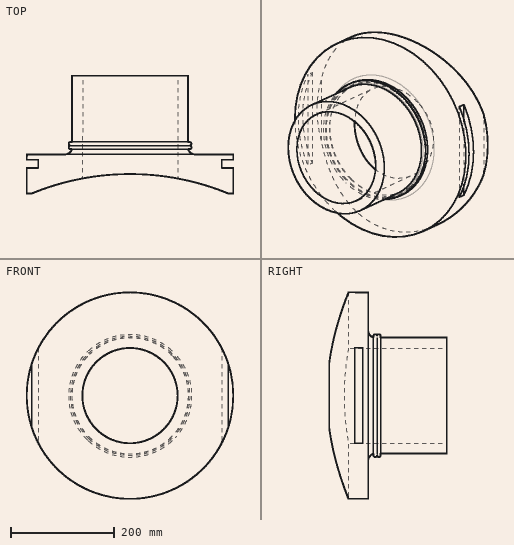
import cadquery as cq
import math

flange_diameter = 400.0
flange_thickness = 76.0
tube_diameter = 225.0
tube_length = 152.0
bore_diameter = 184.0

saddle_radius = 500.0
saddle_half_chord = 190.0

slot_floor_x = 177.5
slot_back_offset = 11.0
slot_width = 15.5

root_fillet_radius = 13.0
ring_section_radius = 3.5
ring_tip_diameter = 238.0
first_ring_y = 13.3
ring_count = 2

flange_radius = flange_diameter / 2
tube_radius = tube_diameter / 2
ring_pitch = 2 * ring_section_radius
ring_center_radius = ring_tip_diameter / 2 - ring_section_radius


def cylinder_along_y(diameter, start_y, end_y):
    """Solid cylinder on the Y axis between two Y positions."""
    return cq.Workplane("XZ", origin=(0, end_y, 0)).circle(diameter / 2).extrude(end_y - start_y)


def make_tube_with_root():
    """Tube revolved about Y, flaring into the flange through a concave root fillet."""
    fillet_center_x = tube_radius + root_fillet_radius
    arc_offset = root_fillet_radius * math.sqrt(0.5)
    fillet_middle = (fillet_center_x - arc_offset, root_fillet_radius - arc_offset)
    return (
        cq.Workplane("XY")
        .lineTo(fillet_center_x, 0)
        .threePointArc(fillet_middle, (tube_radius, root_fillet_radius))
        .lineTo(tube_radius, tube_length)
        .lineTo(0, tube_length)
        .close()
        .revolve(360, (0, 0, 0), (0, 1, 0))
    )


def make_ring(center_y):
    """Ring around the tube: round outside, with straight sides running into the tube wall."""
    inner_x = (bore_diameter / 2 + tube_radius) / 2
    back_y = center_y + ring_section_radius
    front_y = center_y - ring_section_radius
    return (
        cq.Workplane("XY")
        .moveTo(inner_x, front_y)
        .lineTo(ring_center_radius, front_y)
        .threePointArc((ring_center_radius + ring_section_radius, center_y), (ring_center_radius, back_y))
        .lineTo(inner_x, back_y)
        .close()
        .revolve(360, (0, 0, 0), (0, 1, 0))
    )


def make_saddle_cutter():
    """Cylinder parallel to Z that meets the flange front plane at X = +/- saddle_half_chord."""
    axis_drop = math.sqrt(saddle_radius**2 - saddle_half_chord**2)
    axis_y = -flange_thickness - axis_drop
    return (
        cq.Workplane("XY", origin=(0, axis_y, 0))
        .circle(saddle_radius)
        .extrude(flange_radius, both=True)
    )


def make_slot_cutter(side):
    """Block that cuts one rim slot; side is +1 for +X and -1 for -X."""
    slot_depth = flange_radius - slot_floor_x
    center_x = side * (slot_floor_x + slot_depth / 2)
    center_y = -slot_back_offset - slot_width / 2
    return cq.Workplane("XY").box(slot_depth, slot_width, flange_diameter).translate((center_x, center_y, 0))


result = cylinder_along_y(flange_diameter, -flange_thickness, 0)
result = result.cut(make_saddle_cutter())
for slot_side in (1, -1):
    result = result.cut(make_slot_cutter(slot_side))

result = result.union(make_tube_with_root())
for ring_index in range(ring_count):
    result = result.union(make_ring(first_ring_y + ring_index * ring_pitch))

result = result.cut(cylinder_along_y(bore_diameter, -flange_thickness, tube_length))